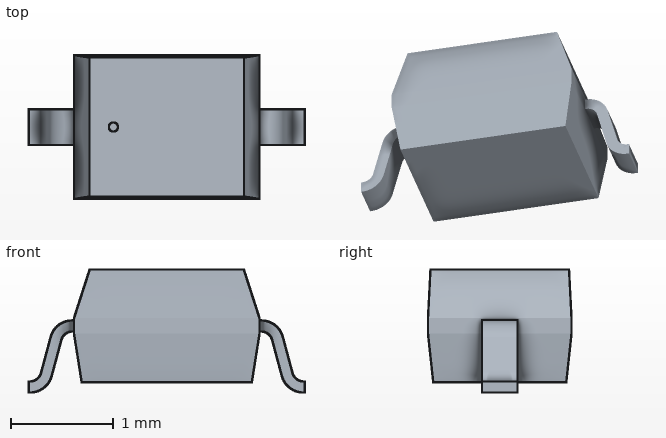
import cadquery as cq
import math

SPAN_X = 2.69
TOTAL_HEIGHT = 1.2

BELT_LENGTH = 1.808
BELT_WIDTH = 1.4
BELT_HEIGHT = 0.15
STANDOFF = 0.1
TOP_INSET_X = 0.153
TOP_INSET_Y = 0.025
BOTTOM_INSET_X = 0.075
BOTTOM_INSET_Y = 0.05
CAP_HEIGHT = (TOTAL_HEIGHT - STANDOFF - BELT_HEIGHT) / 2
BELT_BOTTOM = STANDOFF + CAP_HEIGHT
BELT_TOP = BELT_BOTTOM + BELT_HEIGHT

LEAD_WIDTH = 0.35
LEAD_THICKNESS = 0.11
INNER_RADIUS = 0.11
OUTER_RADIUS = INNER_RADIUS + LEAD_THICKNESS
BEND_ANGLE = 75.0
LEAD_TOP = BELT_BOTTOM + (BELT_HEIGHT + LEAD_THICKNESS) / 2

MARK_DIAMETER = 0.09
MARK_DEPTH = 0.013
MARK_X = -0.52


def make_cap(belt_z, height, inset_x, inset_y):
    """Loft from the belt outline to a smaller rectangle; a negative height goes down."""
    return (
        cq.Workplane("XY", origin=(0, 0, belt_z))
        .rect(BELT_LENGTH, BELT_WIDTH)
        .workplane(offset=height)
        .rect(BELT_LENGTH - 2 * inset_x, BELT_WIDTH - 2 * inset_y)
        .loft(ruled=True)
    )


def make_mark():
    return (
        cq.Workplane("XY", origin=(MARK_X, 0, TOTAL_HEIGHT - MARK_DEPTH))
        .circle(MARK_DIAMETER / 2)
        .extrude(MARK_DEPTH)
    )


def make_housing():
    belt = (
        cq.Workplane("XY", origin=(0, 0, BELT_BOTTOM))
        .rect(BELT_LENGTH, BELT_WIDTH)
        .extrude(BELT_HEIGHT)
    )
    top_cap = make_cap(BELT_TOP, CAP_HEIGHT, TOP_INSET_X, TOP_INSET_Y)
    bottom_cap = make_cap(BELT_BOTTOM, -CAP_HEIGHT, BOTTOM_INSET_X, BOTTOM_INSET_Y)
    return belt.union(top_cap).union(bottom_cap).cut(make_mark())


def point_on_arc(center, radius, degrees):
    angle = math.radians(degrees)
    return (center[0] + radius * math.cos(angle), center[1] + radius * math.sin(angle))


def make_lead(turn):
    """Lead on the +X side, turned about Z by the given angle in degrees."""
    root_x = BELT_LENGTH / 2
    tip_x = SPAN_X / 2
    bend = math.radians(BEND_ANGLE)

    bend_radii = INNER_RADIUS + OUTER_RADIUS
    leg_height = LEAD_TOP - LEAD_THICKNESS - bend_radii * (1 - math.cos(bend))
    bent_reach = bend_radii * math.sin(bend) + leg_height / math.tan(bend)
    flat = (tip_x - root_x - bent_reach) / 2

    shoulder = (root_x + flat, LEAD_TOP - OUTER_RADIUS)
    ankle = (tip_x - flat, OUTER_RADIUS)

    shoulder_start, shoulder_middle, shoulder_end = 90, 90 - BEND_ANGLE / 2, 90 - BEND_ANGLE
    ankle_start, ankle_middle, ankle_end = 270 - BEND_ANGLE, 270 - BEND_ANGLE / 2, 270

    profile = (
        cq.Workplane("XZ")
        .moveTo(root_x, LEAD_TOP)
        .lineTo(*point_on_arc(shoulder, OUTER_RADIUS, shoulder_start))
        .threePointArc(
            point_on_arc(shoulder, OUTER_RADIUS, shoulder_middle),
            point_on_arc(shoulder, OUTER_RADIUS, shoulder_end),
        )
        .lineTo(*point_on_arc(ankle, INNER_RADIUS, ankle_start))
        .threePointArc(
            point_on_arc(ankle, INNER_RADIUS, ankle_middle),
            point_on_arc(ankle, INNER_RADIUS, ankle_end),
        )
        .lineTo(tip_x, LEAD_THICKNESS)
        .lineTo(tip_x, 0)
        .lineTo(*point_on_arc(ankle, OUTER_RADIUS, ankle_end))
        .threePointArc(
            point_on_arc(ankle, OUTER_RADIUS, ankle_middle),
            point_on_arc(ankle, OUTER_RADIUS, ankle_start),
        )
        .lineTo(*point_on_arc(shoulder, INNER_RADIUS, shoulder_end))
        .threePointArc(
            point_on_arc(shoulder, INNER_RADIUS, shoulder_middle),
            point_on_arc(shoulder, INNER_RADIUS, shoulder_start),
        )
        .lineTo(root_x, LEAD_TOP - LEAD_THICKNESS)
        .close()
    )
    lead = profile.extrude(LEAD_WIDTH / 2, both=True)
    return lead.rotate((0, 0, 0), (0, 0, 1), turn)


housing = make_housing()
mark = make_mark()
leads = [make_lead(turn) for turn in (0, 180)]

result = cq.Compound.makeCompound([housing.val(), mark.val(), *[lead.val() for lead in leads]])